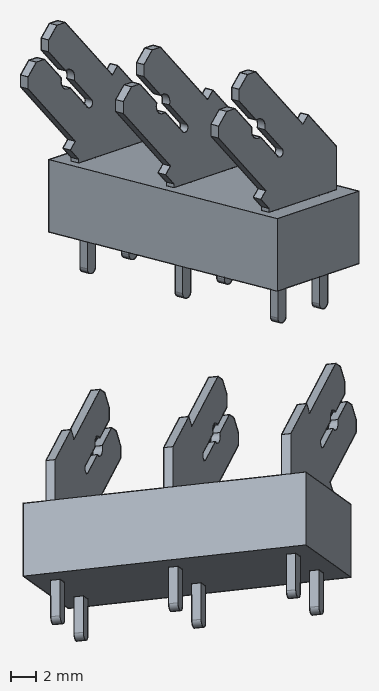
import cadquery as cq
import math

HOUSING_LENGTH = 24.0
HOUSING_DEPTH = 9.8
HOUSING_HEIGHT = 6.0

TERMINAL_COUNT = 3
TERMINAL_PITCH = 10.0
TERMINAL_THICKNESS = 0.8

BLADE_WIDTH = 8.1
BEND_ANGLE = 45.0
BEND_HEIGHT = HOUSING_HEIGHT + 1.89
BLADE_REACH = 3.15
BACK_SHOULDER = 0.9
FRONT_SHOULDER = 0.83

TAB_WIDTH = 6.3
TAB_LENGTH = 8.7
PRONG_CHAMFER = 0.7
SLOT_WIDTH = 0.7
SLOT_START = 0.7
HOLE_DIAMETER = 1.6
HOLE_DISTANCE = 4.4

PIN_WIDTH = 1.0
PIN_LENGTH = 3.5
PIN_SPACING = 5.0


def side_plane(x, height=0):
    """YZ plane on a terminal's -X face, with its origin at the given height."""
    return cq.Workplane("YZ", origin=(x - TERMINAL_THICKNESS / 2, 0, height))


def tilted_plane(x, distance):
    """Like side_plane, with its vertical axis along the tilted centreline.

    The origin lies on that centreline, at a distance beyond the bend.
    """
    return (
        side_plane(x, BEND_HEIGHT)
        .transformed(rotate=(0, 0, BEND_ANGLE))
        .center(0, distance)
    )


def bend_corner(offset, tilted_offset):
    """Distance of a bend corner from the bend, before and along the tilted axis.

    The corner joins an upright edge and a tilted edge, each at its signed
    offset from the blade centreline.
    """
    angle = math.radians(BEND_ANGLE)
    rise = tilted_offset / math.sin(angle) - offset / math.tan(angle)
    reach = tilted_offset / math.tan(angle) - offset / math.sin(angle)
    return rise, reach


def make_blade(x):
    """Plate that bends over, up to the shoulders."""
    half_width = BLADE_WIDTH / 2
    back_edge = TAB_WIDTH / 2 + BACK_SHOULDER
    front_edge = -TAB_WIDTH / 2 - FRONT_SHOULDER
    back_rise, back_reach = bend_corner(half_width, back_edge)
    front_rise, front_reach = bend_corner(-half_width, front_edge)

    upright = (
        side_plane(x)
        .moveTo(-half_width, HOUSING_HEIGHT)
        .lineTo(half_width, HOUSING_HEIGHT)
        .lineTo(half_width, BEND_HEIGHT + back_rise)
        .lineTo(-half_width, BEND_HEIGHT + front_rise)
        .close()
        .extrude(TERMINAL_THICKNESS)
    )
    tilted = (
        tilted_plane(x, 0)
        .moveTo(front_edge, front_reach)
        .lineTo(back_edge, back_reach)
        .lineTo(back_edge, BLADE_REACH)
        .lineTo(front_edge, BLADE_REACH)
        .close()
        .extrude(TERMINAL_THICKNESS)
    )
    return upright.union(tilted)


def make_tab(x):
    """Narrower tab, slotted into two prongs with chamfered tips."""
    prong_width = (TAB_WIDTH - SLOT_WIDTH) / 2
    prong_offset = (SLOT_WIDTH + prong_width) / 2
    slot_length = TAB_LENGTH - SLOT_START

    tab = (
        tilted_plane(x, BLADE_REACH + TAB_LENGTH / 2)
        .rect(TAB_WIDTH, TAB_LENGTH)
        .extrude(TERMINAL_THICKNESS)
    )
    slot = (
        tilted_plane(x, BLADE_REACH + SLOT_START + slot_length / 2)
        .rect(SLOT_WIDTH, slot_length)
        .extrude(TERMINAL_THICKNESS)
    )
    slot_end = (
        tilted_plane(x, BLADE_REACH + SLOT_START)
        .circle(SLOT_WIDTH / 2)
        .extrude(TERMINAL_THICKNESS)
    )
    hole = (
        tilted_plane(x, BLADE_REACH + HOLE_DISTANCE)
        .circle(HOLE_DIAMETER / 2)
        .extrude(TERMINAL_THICKNESS)
    )
    tab = tab.cut(slot).cut(slot_end).cut(hole)

    tip = tilted_plane(x, BLADE_REACH + TAB_LENGTH)
    for prong in (-prong_offset, prong_offset):
        for side in (-1, 1):
            corner = prong + side * prong_width / 2
            cutter = (
                tip.moveTo(corner, 0)
                .lineTo(corner - side * PRONG_CHAMFER, 0)
                .lineTo(corner, -PRONG_CHAMFER)
                .close()
                .extrude(TERMINAL_THICKNESS)
            )
            tab = tab.cut(cutter)
    return tab


def make_pin(x, y):
    """Flat pin down from the blade, through the housing, to a fully rounded tip."""
    radius = PIN_WIDTH / 2
    return (
        side_plane(x)
        .moveTo(y - radius, HOUSING_HEIGHT)
        .lineTo(y - radius, radius - PIN_LENGTH)
        .threePointArc((y, -PIN_LENGTH), (y + radius, radius - PIN_LENGTH))
        .lineTo(y + radius, HOUSING_HEIGHT)
        .close()
        .extrude(TERMINAL_THICKNESS)
    )


def make_terminal(x):
    """One terminal: blade, split tab and two solder pins."""
    terminal = make_blade(x).union(make_tab(x))
    for y in (-PIN_SPACING / 2, PIN_SPACING / 2):
        terminal = terminal.union(make_pin(x, y))
    return terminal


def make_housing(terminals):
    """Block with a through hole matching each terminal pin."""
    housing = cq.Workplane("XY").box(
        HOUSING_LENGTH, HOUSING_DEPTH, HOUSING_HEIGHT, centered=(True, True, False)
    )
    for terminal in terminals:
        housing = housing.cut(terminal)
    return housing


positions = [(i - (TERMINAL_COUNT - 1) / 2) * TERMINAL_PITCH for i in range(TERMINAL_COUNT)]
terminals = [make_terminal(x) for x in positions]
housing = make_housing(terminals)

result = cq.Compound.makeCompound(
    [*housing.solids().vals(), *[terminal.solids().val() for terminal in terminals]]
)